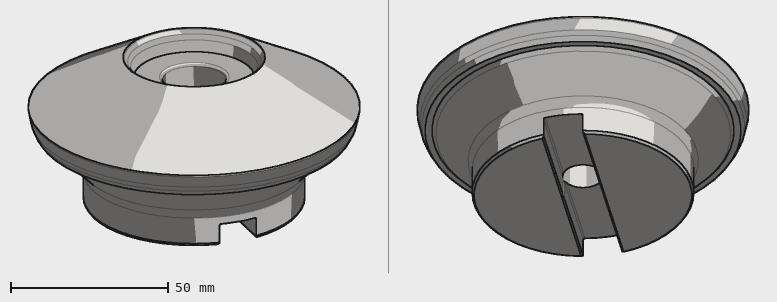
import cadquery as cq

outer_radius = 52.7
total_height = 50.0
rim_height = 32.8

rim_edge_drop = 0.5
rim_wall_radius = 51.9
rim_wall_z = 28.4
rim_bend_radius = 51.2
rim_bend_z = 26.7
ledge_outer_radius = 50.2
ledge_z = 24.9

mouth_radius = 22.6
lip_radius = 22.2
lip_depth = 0.2
upper_wall_radius = 21.2
upper_wall_depth = 1.5
lower_wall_radius = 20.2
lower_wall_depth = 3.2
floor_radius = 19.1
floor_depth = 6.9
floor_z = total_height - floor_depth

flange_radius = 48.0
flange_edge_radius = 46.8
flange_edge_z = 23.6
neck_cone_radius = 36.6
neck_cone_z = flange_edge_z - (flange_edge_radius - neck_cone_radius)
neck_radius = 35.2
neck_z = 9.9
neck_bend_radius = 35.5
neck_bend_z = 11.5
foot_chamfer_height = 1.0
foot_chamfer_width = 0.6

counterbore_radius = 10.1
counterbore_depth = 12.5
counterbore_fillet = 1.0
bore_radius = 6.4
bore_chamfer = 0.4

slot_width = 12.7
slot_depth = 7.3
slot_corner_fillet = 0.5
slot_edge_chamfer = 0.5


def revolve_about_z(profile):
    """Turn a closed (radius, height) profile around the Z axis."""
    return profile.close().revolve(360, (0, 0, 0), (0, 1, 0))


def make_cover():
    """Conical cover ring with a tapered rim and a flared central opening."""
    profile = cq.Workplane("XZ").moveTo(floor_radius, floor_z)
    profile = profile.lineTo(lower_wall_radius, total_height - lower_wall_depth)
    profile = profile.lineTo(upper_wall_radius, total_height - upper_wall_depth)
    profile = profile.lineTo(lip_radius, total_height - lip_depth)
    profile = profile.lineTo(mouth_radius, total_height)
    profile = profile.lineTo(outer_radius, rim_height)
    profile = profile.lineTo(outer_radius, rim_height - rim_edge_drop)
    profile = profile.lineTo(rim_wall_radius, rim_wall_z)
    profile = profile.lineTo(rim_bend_radius, rim_bend_z)
    profile = profile.lineTo(ledge_outer_radius, ledge_z)
    profile = profile.lineTo(flange_radius, ledge_z)
    return revolve_about_z(profile)


def make_hub_blank():
    """Hub whose conical top fills the underside of the cover."""
    profile = (
        cq.Workplane("XZ")
        .moveTo(0, 0)
        .lineTo(neck_radius - foot_chamfer_width, 0)
        .lineTo(neck_radius, foot_chamfer_height)
        .lineTo(neck_radius, neck_z)
        .threePointArc((neck_bend_radius, neck_bend_z), (neck_cone_radius, neck_cone_z))
        .lineTo(flange_edge_radius, flange_edge_z)
        .lineTo(flange_radius, ledge_z)
        .lineTo(floor_radius, floor_z)
        .lineTo(0, floor_z)
    )
    return revolve_about_z(profile)


def make_bore():
    """Through bore with a counterbore that has a rounded mouth."""
    seat_z = floor_z - counterbore_depth
    mouth = counterbore_radius + counterbore_fillet
    profile = (
        cq.Workplane("XZ")
        .moveTo(0, 0)
        .lineTo(bore_radius, 0)
        .lineTo(bore_radius, seat_z - bore_chamfer)
        .lineTo(bore_radius + bore_chamfer, seat_z)
        .lineTo(counterbore_radius, seat_z)
        .lineTo(counterbore_radius, floor_z - counterbore_fillet)
        .radiusArc((mouth, floor_z), counterbore_fillet)
        .lineTo(0, floor_z)
    )
    return revolve_about_z(profile)


def make_slot():
    """Drive slot with rounded upper corners and chamfered lower edges."""
    half_width = slot_width / 2
    slot = (
        cq.Workplane("XY")
        .box(2 * outer_radius, slot_width, slot_depth, centered=(True, True, False))
        .edges("|X and >Z")
        .fillet(slot_corner_fillet)
    )
    entry = (
        cq.Workplane("YZ")
        .moveTo(-half_width - slot_edge_chamfer, 0)
        .lineTo(half_width + slot_edge_chamfer, 0)
        .lineTo(half_width, slot_edge_chamfer)
        .lineTo(-half_width, slot_edge_chamfer)
        .close()
        .extrude(outer_radius, both=True)
    )
    return slot.union(entry)


def make_hub():
    return make_hub_blank().cut(make_bore()).cut(make_slot())


cover = make_cover()
hub = make_hub()

result = cq.Compound.makeCompound([cover.val(), *hub.solids().vals()])